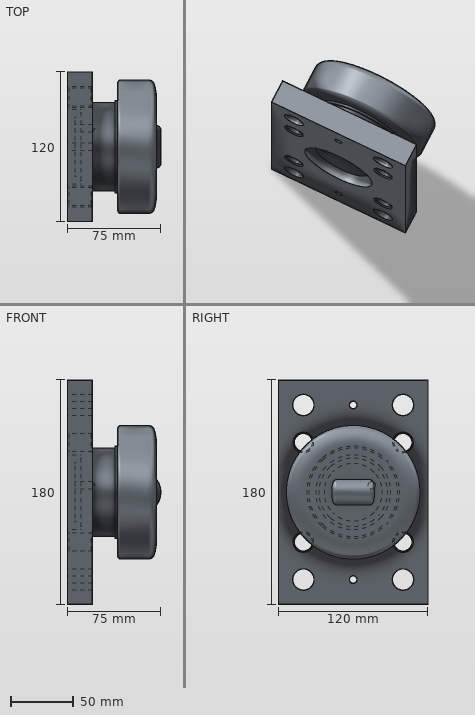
import cadquery as cq

plate_thickness = 20.0
plate_width = 120.0
plate_height = 180.0

column_offset = 40.0
outer_row_offset = 70.0
inner_row_offset = 40.0
clearance_diameter = 17.0
tapped_diameter = 14.4
tapped_chamfer = 1.0
dowel_diameter = 6.0

neck_radius = 35.6
collar_radius = 37.0
collar_start = 38.2

ring_radius = 53.6
ring_start = 40.3
ring_back_fillet = 2.5
ring_front_fillet_width = 4.7
ring_front_fillet_height = 2.9
ring_front_edge = 69.5
cap_mid_x = 71.0
cap_mid_radius = 45.4
cap_face_x = 71.5
cap_face_radius = 37.0

overall_depth = 75.0
roller_radius = 16.0
roller_length = 34.0
roller_fillet = 3.8

bore_radius = 30.0
bore_depth = 11.0
shaft_end_depth = 6.0
shaft_end_radius = 23.2
weld_root_radius = 27.5

grease_y = 15.0
grease_z = 5.5
grease_diameter = 6.0
grease_depth = 14.4
grease_tip_length = 1.8


def x_cylinder(start, length, radius, y=0, z=0):
    """Solid cylinder along +X."""
    return cq.Workplane("YZ", origin=(start, y, z)).circle(radius).extrude(length)


def mounting_plate():
    plate = cq.Workplane("XY").box(plate_thickness, plate_width, plate_height, centered=(False, True, True))
    for side_z in (-1, 1):
        outer_z = side_z * outer_row_offset
        inner_z = side_z * inner_row_offset
        plate = plate.cut(x_cylinder(0, plate_thickness, dowel_diameter / 2, 0, outer_z))
        for side_y in (-1, 1):
            hole_y = side_y * column_offset
            plate = plate.cut(x_cylinder(0, plate_thickness, clearance_diameter / 2, hole_y, outer_z))
            plate = plate.cut(tapped_hole(hole_y, inner_z))
    return plate.cut(x_cylinder(0, bore_depth, bore_radius))


def tapped_hole(y, z):
    """Through hole with a chamfered mouth on both plate faces."""
    radius = tapped_diameter / 2
    mouth = radius + tapped_chamfer
    return (
        cq.Workplane("XY", origin=(0, y, z))
        .lineTo(0, mouth)
        .lineTo(tapped_chamfer, radius)
        .lineTo(plate_thickness - tapped_chamfer, radius)
        .lineTo(plate_thickness, mouth)
        .lineTo(plate_thickness, 0)
        .close()
        .revolve(360, (0, 0), (1, 0))
    )


def shaft_end():
    """Conical shaft end rising from the bore floor towards the back."""
    return (
        cq.Workplane("XY")
        .moveTo(shaft_end_depth, 0)
        .lineTo(shaft_end_depth, shaft_end_radius)
        .lineTo(bore_depth, weld_root_radius)
        .lineTo(plate_thickness, weld_root_radius)
        .lineTo(plate_thickness, 0)
        .close()
        .revolve(360, (0, 0, 0), (1, 0, 0))
    )


def bearing():
    """Neck, collar and bearing ring with a crowned front face."""
    fillet_start = ring_front_edge - ring_front_fillet_width
    return (
        cq.Workplane("XY")
        .moveTo(plate_thickness, 0)
        .lineTo(plate_thickness, neck_radius)
        .lineTo(collar_start, neck_radius)
        .lineTo(collar_start, collar_radius)
        .lineTo(ring_start, collar_radius)
        .lineTo(ring_start, ring_radius - ring_back_fillet)
        .radiusArc((ring_start + ring_back_fillet, ring_radius), ring_back_fillet)
        .lineTo(fillet_start, ring_radius)
        .tangentArcPoint((ring_front_edge, ring_radius - ring_front_fillet_height), relative=False)
        .threePointArc((cap_mid_x, cap_mid_radius), (cap_face_x, cap_face_radius))
        .lineTo(cap_face_x, 0)
        .close()
        .revolve(360, (0, 0, 0), (1, 0, 0))
    )


def side_roller():
    roller_axis_x = overall_depth - roller_radius
    roller = (
        cq.Workplane("XZ", origin=(roller_axis_x, 0, 0))
        .circle(roller_radius)
        .extrude(roller_length / 2, both=True)
    )
    return roller.edges("%CIRCLE").fillet(roller_fillet)


def grease_hole():
    radius = grease_diameter / 2
    return (
        cq.Workplane("XY", origin=(shaft_end_depth, grease_y, grease_z))
        .lineTo(0, radius)
        .lineTo(grease_depth, radius)
        .lineTo(grease_depth + grease_tip_length, 0)
        .close()
        .revolve(360, (0, 0), (1, 0))
    )


result = mounting_plate().union(shaft_end()).union(bearing()).union(side_roller()).cut(grease_hole())